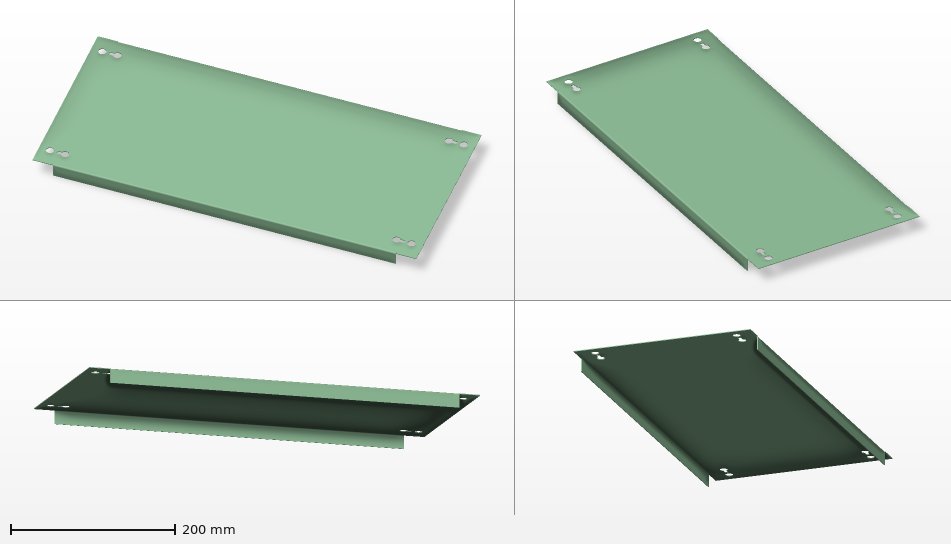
import cadquery as cq

length = 497.5
width = 229.5
height = 18.0
thickness = 1.0
bend_radius = 2.0

flange_inset = 26.5
flange_length = length - 2 * flange_inset

slit_width = 0.5
slit_depth = 2.0

hole_diameter = 10.0
hole_inset = 14.5
row_inset = 23.0
keyhole_inset = 34.0
keyhole_slot_end = 23.5
keyhole_slot_width = 4.5

SIDES = (-1, 1)


def make_channel():
    """Bent channel: the panel stretch that carries both flanges."""
    outer = cq.Workplane("XY").box(flange_length, width, height, centered=(True, True, False))
    outer = outer.edges("|X and >Z").fillet(bend_radius)
    inner = cq.Workplane("XY").box(
        flange_length, width - 2 * thickness, height - thickness, centered=(True, True, False)
    )
    inner = inner.edges("|X and >Z").fillet(bend_radius - thickness)
    return outer.cut(inner)


def make_end_plate(side):
    """Flat stretch of the panel beyond the flanges at one end."""
    return (
        cq.Workplane("XY", origin=(side * (length - flange_inset) / 2, 0, height - thickness))
        .box(flange_inset, width, thickness, centered=(True, True, False))
    )


def make_corner_cutter(side_x, side_y):
    """Round hole, keyhole and bend slit for one corner."""
    end_x = length / 2
    row_y = side_y * (width / 2 - row_inset)
    base = cq.Workplane("XY")

    holes = (
        base.pushPoints([(side_x * (end_x - inset), row_y) for inset in (hole_inset, keyhole_inset)])
        .circle(hole_diameter / 2)
        .extrude(height)
    )
    slot_length = keyhole_inset - keyhole_slot_end
    slot_x = end_x - keyhole_slot_end - slot_length / 2
    slot = (
        base.center(side_x * slot_x, row_y)
        .rect(slot_length, keyhole_slot_width)
        .extrude(height)
    )
    slit_x = end_x - flange_inset + slit_width / 2
    slit = (
        base.center(side_x * slit_x, side_y * width / 2)
        .rect(slit_width, 2 * slit_depth)
        .extrude(height)
    )
    return holes.union(slot).union(slit)


result = make_channel()
for side in SIDES:
    result = result.union(make_end_plate(side))
for side_x in SIDES:
    for side_y in SIDES:
        result = result.cut(make_corner_cutter(side_x, side_y))